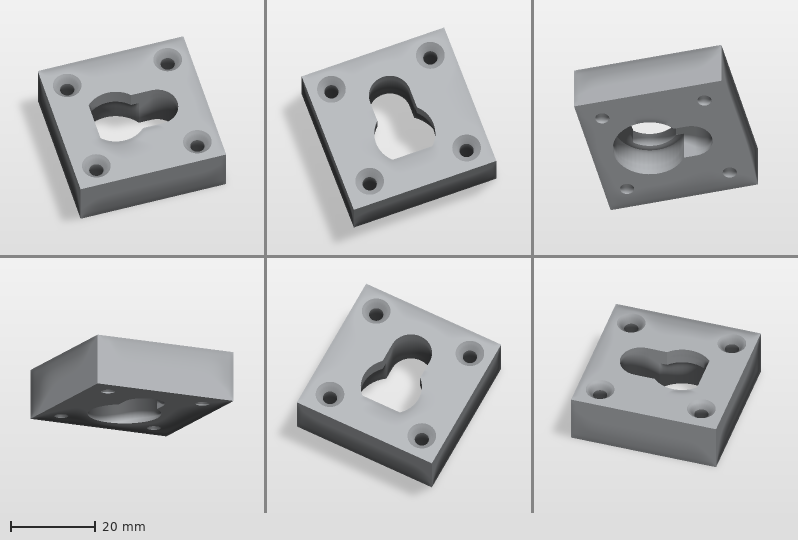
import cadquery as cq
import math

side = 36.0
thickness = 12.0

hole_diameter = 3.4
countersink_diameter = 6.8
countersink_angle = 90
hole_offset = 12.5
shifted_hole_x = -12.0
hole_positions = [
    (-hole_offset, hole_offset),
    (hole_offset, hole_offset),
    (hole_offset, -hole_offset),
    (shifted_hole_x, -hole_offset),
]

slot_width = 10.0
slot_end_y = 11.25
circle_diameter = 14.5
circle_y = -4.0

undercut_diameter = 17.5
lip_thickness = 4.0


def make_plate():
    return cq.Workplane("XY").box(side, side, thickness)


def make_keyhole():
    slot_radius = slot_width / 2
    circle_radius = circle_diameter / 2
    half_chord_height = math.sqrt(circle_radius**2 - slot_radius**2)
    flat_y = circle_y - half_chord_height
    neck_y = circle_y + half_chord_height
    arch_y = slot_end_y - slot_radius
    return (
        cq.Workplane("XY")
        .workplane(offset=-thickness / 2)
        .moveTo(-slot_radius, flat_y)
        .lineTo(slot_radius, flat_y)
        .threePointArc((circle_radius, circle_y), (slot_radius, neck_y))
        .lineTo(slot_radius, arch_y)
        .threePointArc((0, slot_end_y), (-slot_radius, arch_y))
        .lineTo(-slot_radius, neck_y)
        .threePointArc((-circle_radius, circle_y), (-slot_radius, flat_y))
        .close()
        .extrude(thickness)
    )


def make_undercut():
    return (
        cq.Workplane("XY")
        .workplane(offset=-thickness / 2)
        .center(0, circle_y)
        .circle(undercut_diameter / 2)
        .extrude(thickness - lip_thickness)
    )


def drill_screw_holes(plate):
    return (
        plate.faces(">Z")
        .workplane(origin=(0, 0, 0))
        .pushPoints(hole_positions)
        .cskHole(hole_diameter, countersink_diameter, countersink_angle)
    )


result = drill_screw_holes(make_plate()).cut(make_keyhole()).cut(make_undercut())